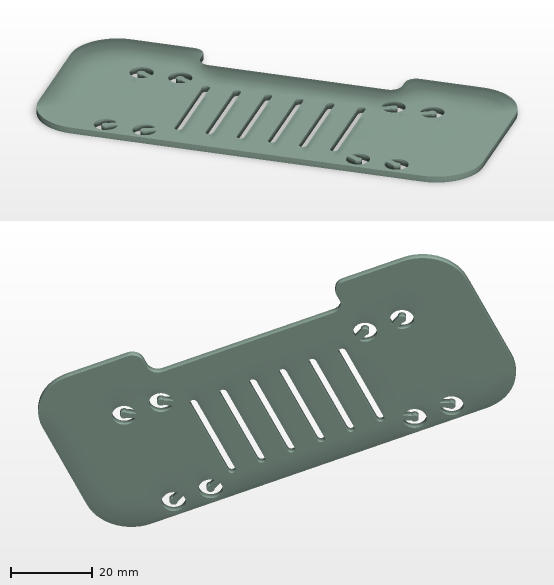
import cadquery as cq

length = 114.5
width = 51.0
thickness = 1.6
corner_radius = 12.0

notch_width = 52.0
notch_depth = 8.0
notch_radius = 3.0

field_y = -6.3

slots_x = 0.1
slot_count = 6
slot_pitch = 8.0
slot_length = 25.2
slot_width = 2.0

openings_x = -0.1
inner_spacing = 55.0
pair_pitch = 10.0
row_spacing = 30.0
opening_radius = 3.0
pad_radius = 1.0
tongue_width = 1.5
tongue_angle = 28.0


def make_plate():
    plate = cq.Workplane("XY").box(length, width, thickness)
    return plate.edges("|Z").fillet(corner_radius)


def make_notch():
    """Cutter for the notch, with rounded floor corners and a rounded, flaring mouth."""
    mouth_y = width / 2
    floor_y = mouth_y - notch_depth
    half_notch = notch_width / 2
    half_mouth = half_notch + notch_radius
    half_floor = half_notch - notch_radius
    outline = (
        cq.Workplane("XY")
        .moveTo(-half_mouth, mouth_y)
        .radiusArc((-half_notch, mouth_y - notch_radius), notch_radius)
        .lineTo(-half_notch, floor_y + notch_radius)
        .radiusArc((-half_floor, floor_y), -notch_radius)
        .lineTo(half_floor, floor_y)
        .radiusArc((half_notch, floor_y + notch_radius), -notch_radius)
        .lineTo(half_notch, mouth_y - notch_radius)
        .radiusArc((half_mouth, mouth_y), notch_radius)
        .close()
    )
    return outline.extrude(thickness, both=True)


def make_slots():
    return (
        cq.Workplane("XY")
        .center(slots_x, field_y)
        .rarray(slot_pitch, 1.1, slot_count, 1)
        .slot2D(slot_length, slot_width, angle=90)
        .extrude(thickness, both=True)
    )


def make_opening(x, y, direction):
    """C-shaped cutter at (x, y); its gap, the tongue, points along direction in degrees."""
    disc = cq.Workplane("XY").circle(opening_radius).extrude(thickness, both=True)
    pad = cq.Workplane("XY").circle(pad_radius).extrude(thickness, both=True)
    tongue_length = 2 * opening_radius
    tongue = (
        cq.Workplane("XY")
        .center(tongue_length / 2, 0)
        .rect(tongue_length, tongue_width)
        .extrude(thickness, both=True)
    )
    opening = disc.cut(pad).cut(tongue)
    return opening.rotate((0, 0, 0), (0, 0, 1), direction).translate((x, y, 0))


result = make_plate().cut(make_notch()).cut(make_slots())

for side in (-1, 1):
    for row in (-1, 1):
        tilt = -row * tongue_angle
        direction = tilt if side < 0 else 180 - tilt
        for column in range(2):
            x = openings_x + side * (inner_spacing / 2 + column * pair_pitch)
            y = field_y + row * row_spacing / 2
            result = result.cut(make_opening(x, y, direction))